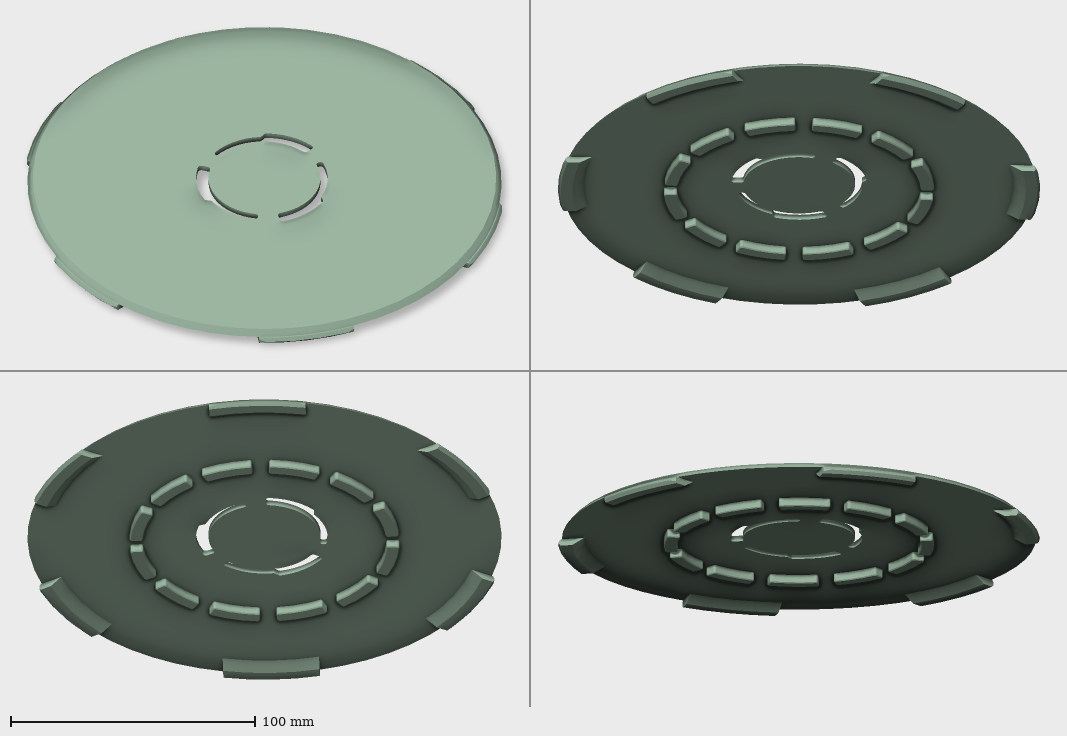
import cadquery as cq
import math

total_height = 6.0
plate_thickness = 2.4
plate_diameter = 193.6
plate_radius = plate_diameter / 2
plate_bevel = 2.2

tab_count = 6
tab_width = 39.4
tab_tip_radius = 98.5
tab_lip_length = 1.2
tab_depth = 2.8
tab_taper_length = 6.7
tab_taper_depth = 2.5
tab_root_radius = 87.7
tab_foot_radius = 92.5

block_count = 12
block_outer_radius = 55.2
block_inner_radius = 49.8
block_span = 22.4
block_corner_radius = 1.0
block_bottom_chamfer = 0.4

slot_count = 3
slot_inner_radius = 22.9
slot_narrow_radius = 25.8
slot_wide_radius = 28.0
slot_start_angle = 63.0
slot_step_angle = 111.0
slot_step_spread = 4.0
slot_end_angle = 163.5
slot_corner_radius = 1.4
slot_step_fillet = 1.0

underside = -plate_thickness
origin = (0, 0, 0)
z_axis_tip = (0, 0, 1)


def polar(radius, angle):
    """Point at a radius and an angle in degrees from +X."""
    turn = math.radians(angle)
    return (radius * math.cos(turn), radius * math.sin(turn))


def arc_to(sketch, radius, start_angle, end_angle):
    """Continue an outline along a circle centred on the disc axis."""
    middle = polar(radius, (start_angle + end_angle) / 2)
    return sketch.threePointArc(middle, polar(radius, end_angle))


def copies_around(body, count):
    """List of equal copies of a body, spread evenly about the disc axis."""
    pitch = 360 / count
    return [body.rotate(origin, z_axis_tip, index * pitch) for index in range(count)]


def make_plate():
    """Flat disc whose rim slopes out to a sharp lower edge."""
    top_radius = plate_radius - plate_bevel
    profile = [(0, 0), (top_radius, 0), (plate_radius, underside), (0, underside)]
    return cq.Workplane("XZ").polyline(profile).close().revolve(360, (0, 0), (0, 1))


def make_tab():
    """Rim tab with a pointed outer lip and a sloping inner side, centred on +X."""
    bottom = underside - tab_depth
    lip_radius = tab_tip_radius - tab_lip_length
    profile = [
        (tab_root_radius, underside),
        (lip_radius, underside),
        (tab_tip_radius, underside - tab_depth / 2),
        (lip_radius, bottom),
        (tab_foot_radius, bottom),
    ]
    ring = cq.Workplane("XZ").polyline(profile).close().revolve(360, (0, 0), (0, 1))

    half_width = tab_width / 2
    shoulder = tab_tip_radius - tab_taper_depth
    taper_start = half_width - tab_taper_length
    strip_outline = [
        (0, -half_width),
        (shoulder, -half_width),
        (tab_tip_radius, -taper_start),
        (tab_tip_radius, taper_start),
        (shoulder, half_width),
        (0, half_width),
    ]
    strip = cq.Workplane("XY").polyline(strip_outline).close().extrude(-total_height)
    return ring.intersect(strip)


def make_block():
    """Curved block standing under the plate, midway between two gaps of the ring."""
    pitch = 360 / block_count
    start = (pitch - block_span) / 2
    end = start + block_span
    outline = cq.Workplane("XY").moveTo(*polar(block_outer_radius, start))
    outline = arc_to(outline, block_outer_radius, start, end)
    outline = outline.lineTo(*polar(block_inner_radius, end))
    outline = arc_to(outline, block_inner_radius, end, start).close()
    block = outline.extrude(-total_height)
    block = block.edges("|Z").fillet(block_corner_radius)
    block = block.faces("<Z").chamfer(block_bottom_chamfer)
    return block


def make_slot():
    """Curved slot that is wide over its first stretch and narrow over the rest."""
    wide_end_angle = slot_step_angle - slot_step_spread / 2
    narrow_start_angle = slot_step_angle + slot_step_spread / 2
    outline = cq.Workplane("XY").moveTo(*polar(slot_inner_radius, slot_start_angle))
    outline = outline.lineTo(*polar(slot_wide_radius, slot_start_angle))
    outline = arc_to(outline, slot_wide_radius, slot_start_angle, wide_end_angle)
    outline = outline.lineTo(*polar(slot_narrow_radius, narrow_start_angle))
    outline = arc_to(outline, slot_narrow_radius, narrow_start_angle, slot_end_angle)
    outline = outline.lineTo(*polar(slot_inner_radius, slot_end_angle))
    outline = arc_to(outline, slot_inner_radius, slot_end_angle, slot_start_angle).close()
    slot = outline.extrude(-plate_thickness)

    step_height = slot_wide_radius - slot_narrow_radius
    step_x, step_y = polar(slot_narrow_radius + step_height / 2, slot_step_angle)
    near_step = cq.selectors.BoxSelector(
        (step_x - step_height, step_y - step_height, -plate_thickness),
        (step_x + step_height, step_y + step_height, 0),
    )
    upright = cq.selectors.ParallelDirSelector(cq.Vector(0, 0, 1))
    slot = slot.edges(upright - near_step).fillet(slot_corner_radius)
    return slot.edges(upright & near_step).fillet(slot_step_fillet)


result = make_plate()
for tab in copies_around(make_tab(), tab_count):
    result = result.union(tab)
for block in copies_around(make_block(), block_count):
    result = result.union(block)
for slot in copies_around(make_slot(), slot_count):
    result = result.cut(slot)